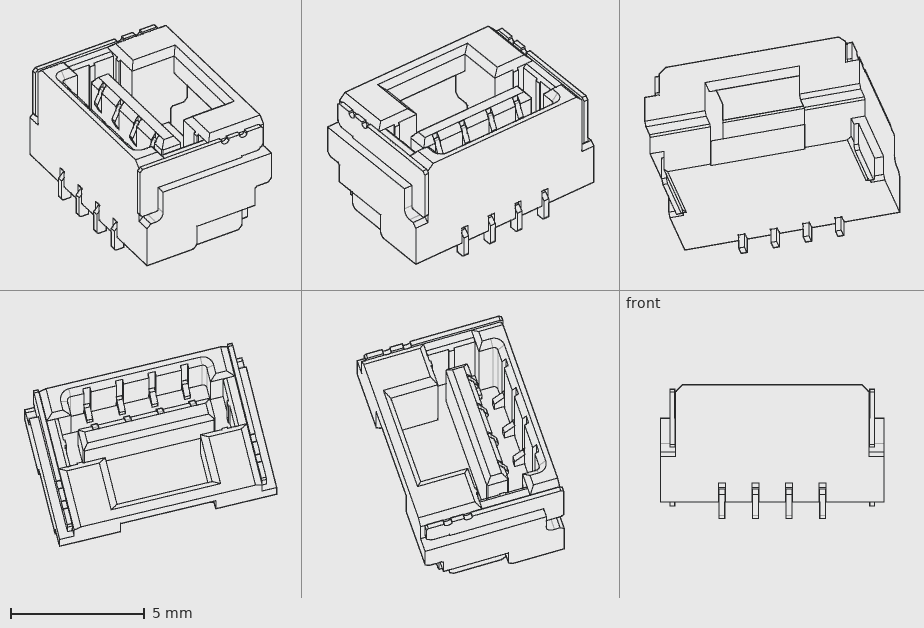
import cadquery as cq


width = 8.35
depth = 5.46
height = 4.38
core_half = 3.615
shoulder_top = 3.13
base_back = 4.74
overhang_z = 1.845
overhang_chamfer = 0.15
overhang_fillet = 0.075

rim_drop = 0.26
rim_z = height - rim_drop
rim_run_y = 0.21
front_rim_y = 1.16
back_rim_y = 3.04

cavity_half = 3.17
cavity_lead = 0.13
mouth_half = 2.68
front_wall = 0.47
mouth_radius = 0.15
floor_z = 1.17
trench_half = 2.33
trench_z = 0.835

window_half = 1.83
window_flare = 0.275
bar_front = 4.885
bar_bottom = 3.33
floor_back = 4.65

rib_height = 0.06
rib_width = 0.22
side_rib_y = 2.09
back_rib_x = 2.78

tongue_half = 2.54
tongue_front = 1.66
tongue_back = 2.51
tongue_top = 3.975
tongue_chamfer_drop = 0.29
tongue_chamfer_run = 0.21
tongue_corner = 0.05

contact_count = 4
pitch = 1.25
contact_width = 0.225
contact_groove = 0.275
groove_back_y = 1.86
groove_front_y = 0.32
protrusion = 0.09
tail_bottom = -0.62
tail_back = 0.325
tail_radius = 0.11
tail_top = 0.49
tail_shoulder = 0.28
exit_top = 0.7
exit_slope = 0.15
arm_tip_y = 1.74
arm_tip_z = 3.715
contact_tip_radius = 0.07
bump_y = 1.49
bump_top = 3.19
bump_flat = 0.08
bump_end = 2.755
prong_tip_z = 1.6
prong_toe_y = 0.85
prong_toe_z = 1.25

plate_inner = 3.64
plate_outer = 3.825
plate_top = 4.22
plate_bottom = 2.05
plate_back = 5.29
plate_back_bottom = 3.19
plate_back_chamfer = 0.19
plate_top_chamfer = 0.075
plate_front_chamfer = 0.12
foot_front = 2.19
foot_back = 4.38
foot_bottom = -0.15
foot_top = 0.99
foot_chamfer = 0.16
notch_width = 0.3
notch_straight = 0.08
notch_depth = 0.18
notch_centers = (3.65, 4.44)

recess_back = 0.7
recess_z = 1.87
recess_radius = 0.32
recess_chamfer = 0.17

overlap = 0.08


def block(x0, x1, y0, y1, z0, z1):
    """Box given by its limits on the three axes."""
    return cq.Workplane("XY").box(x1 - x0, y1 - y0, z1 - z0, centered=False).translate((x0, y0, z0))


def along_x(points, x0, x1):
    """Closed (y, z) outline extruded from x0 to x1."""
    return cq.Workplane("YZ").polyline(points).close().extrude(x1 - x0).translate((x0, 0, 0))


def along_y(points, y0, y1):
    """Closed (x, z) outline extruded from y0 to y1."""
    return cq.Workplane("XZ").polyline(points).close().extrude(y0 - y1).translate((0, y0, 0))


def both_sides(left):
    """A left-hand body together with its mirror image."""
    return left.union(left.mirror("YZ"))


def shell():
    """Outer block: side profile with overhang, tall core and lower shoulders."""
    side = [
        (0, 0),
        (base_back, 0),
        (base_back, overhang_z - overhang_fillet),
        (base_back + overhang_fillet, overhang_z),
        (depth - overhang_chamfer, overhang_z),
        (depth, overhang_z + overhang_chamfer),
        (depth, height),
        (0, height),
    ]
    front = [
        (-width / 2, 0),
        (width / 2, 0),
        (width / 2, shoulder_top),
        (core_half, shoulder_top),
        (core_half, rim_z),
        (core_half - rim_drop, height),
        (rim_drop - core_half, height),
        (-core_half, rim_z),
        (-core_half, shoulder_top),
        (-width / 2, shoulder_top),
    ]
    return along_x(side, -width / 2, width / 2).intersect(along_y(front, 0, depth))


def shoulder_recess():
    """Pocket in the front of the left shoulder, with a round inner corner."""
    return (
        cq.Workplane("YZ")
        .moveTo(-overlap, recess_z - recess_chamfer - overlap)
        .lineTo(recess_chamfer, recess_z)
        .lineTo(recess_back - recess_radius, recess_z)
        .radiusArc((recess_back, recess_z + recess_radius), -recess_radius)
        .lineTo(recess_back, shoulder_top + overlap)
        .lineTo(-overlap, shoulder_top + overlap)
        .close()
        .extrude(width / 2 - core_half)
        .translate((-width / 2, 0, 0))
    )


def foot_notch():
    """Relief behind the foot of the left plate, widened by a chamfer at the underside."""
    y1 = base_back + overlap
    relief = block(-width / 2 - overlap, -plate_inner, foot_front, y1, 0, foot_top)
    side_flare = along_y(
        [(-plate_inner, 0), (overhang_chamfer - plate_inner, 0), (-plate_inner, overhang_chamfer)],
        foot_front, y1,
    )
    front_flare = along_x(
        [(foot_front, 0), (foot_front - overhang_chamfer, 0), (foot_front, overhang_chamfer)],
        -width / 2 - overlap, -plate_inner,
    )
    return relief.union(side_flare).union(front_flare)


def rim_gap():
    """Lowered rim between the front corners and the back block."""
    points = [
        (front_rim_y, rim_z),
        (back_rim_y, rim_z),
        (back_rim_y + rim_run_y, height),
        (front_rim_y - rim_run_y, height),
    ]
    return along_x(points, -width / 2, width / 2)


def mouth():
    """Narrow front part of the cavity and its 45 degree lead-in."""
    def outline(z):
        length = back_rim_y - front_wall
        return (
            cq.Workplane("XY", origin=(0, front_wall + length / 2, z))
            .sketch()
            .rect(2 * mouth_half, length)
            .vertices("<Y")
            .fillet(mouth_radius)
            .finalize()
        )

    lead_in = outline(rim_z).extrude(rim_drop, taper=-45)
    well = outline(trench_z).extrude(rim_z - trench_z)
    return lead_in.union(well).intersect(block(-width, width, 0, front_rim_y, 0, height))


def trench():
    """Deeper floor between the mouth and the tongue."""
    return block(-trench_half, trench_half, front_wall, tongue_front, trench_z, floor_z)


def main_cavity():
    """Wide part of the cavity with sloped lead-ins on the side walls."""
    points = [
        (-cavity_half, floor_z),
        (cavity_half, floor_z),
        (cavity_half, rim_z - cavity_lead),
        (cavity_half + cavity_lead, rim_z),
        (-cavity_half - cavity_lead, rim_z),
        (-cavity_half, rim_z - cavity_lead),
    ]
    return along_y(points, front_rim_y, back_rim_y)


def window():
    """Opening through the back block, flared at the top and open under the rear bar."""
    y0 = back_rim_y - overlap

    def outline(plane, half, y1):
        return plane.center(0, (y0 + y1) / 2).rect(2 * half, y1 - y0).center(0, -(y0 + y1) / 2)

    start = cq.Workplane("XY", origin=(0, 0, rim_z))
    flare = outline(
        outline(start, window_half, bar_front).workplane(offset=rim_drop),
        window_half + window_flare, bar_front + rim_run_y,
    ).loft(ruled=True)
    well = block(-window_half, window_half, y0, bar_front, floor_z, rim_z)
    under_bar = block(-window_half, window_half, y0, depth + overlap, floor_z, bar_bottom)
    drop = block(-window_half, window_half, floor_back, depth + overlap, -overlap, bar_bottom)
    return flare.union(well).union(under_bar).union(drop)


def crush_ribs():
    """Left pair of upright ribs, one on the side wall and one on the back block.

    The tops of the ribs continue the slopes above them.
    """
    side_points = [
        (-cavity_half - overlap, floor_z),
        (rib_height - cavity_half, floor_z),
        (rib_height - cavity_half, rim_z - cavity_lead - rib_height),
        (-cavity_half, rim_z - cavity_lead),
        (-cavity_half - overlap, rim_z - cavity_lead),
    ]
    back_points = [
        (back_rim_y + overlap, floor_z),
        (back_rim_y - rib_height, floor_z),
        (back_rim_y - rib_height, rim_z - rib_height * rim_drop / rim_run_y),
        (back_rim_y, rim_z),
        (back_rim_y + overlap, rim_z),
    ]
    side = along_y(side_points, side_rib_y - rib_width / 2, side_rib_y + rib_width / 2)
    back = along_x(back_points, -back_rib_x - rib_width / 2, -back_rib_x + rib_width / 2)
    return side.union(back)


def tongue():
    """Central tongue with chamfered top and corners."""
    body = block(-tongue_half, tongue_half, tongue_front, tongue_back, trench_z - overlap, tongue_top)
    bevelled = body.faces(">Z").chamfer(tongue_chamfer_drop, tongue_chamfer_run)
    return bevelled.intersect(body.edges("|Z").chamfer(tongue_corner))


def contact_clearance(x):
    """Grooves for one contact in the tongue, the front wall and the front face."""
    half = contact_width / 2
    gap = contact_groove / 2
    in_tongue = block(x - half, x + half, tongue_front - overlap, groove_back_y, trench_z, tongue_top)
    in_wall = block(x - gap, x + gap, groove_front_y, front_wall, trench_z, height)
    exit_points = [
        (0, -overlap),
        (tail_back, -overlap),
        (tail_back, exit_top - exit_slope),
        (exit_slope, exit_top - exit_slope),
        (0, exit_top),
    ]
    return in_tongue.union(in_wall).union(along_x(exit_points, x - gap, x + gap))


def contact_tail():
    """Side outline of the solder tail, reaching up into the front wall."""
    return (
        cq.Workplane("YZ")
        .moveTo(-protrusion, tail_shoulder)
        .lineTo(tail_top - tail_shoulder - protrusion, tail_top)
        .lineTo(tail_back + overlap, tail_top)
        .lineTo(tail_back + overlap, 0)
        .lineTo(tail_back, 0)
        .lineTo(tail_back, tail_bottom)
        .lineTo(tail_radius - protrusion, tail_bottom)
        .radiusArc((-protrusion, tail_bottom + tail_radius), tail_radius)
        .close()
    )


def contact_prong():
    """Side outline of the front prong, with a round tip and a sloped back."""
    base_z = trench_z - overlap
    return (
        cq.Workplane("YZ")
        .moveTo(groove_front_y, base_z)
        .lineTo(groove_front_y, prong_tip_z)
        .radiusArc((groove_front_y + 2 * contact_tip_radius, prong_tip_z), contact_tip_radius)
        .lineTo(prong_toe_y, prong_toe_z)
        .lineTo(prong_toe_y, base_z)
        .close()
    )


def contact_arm():
    """Side outline of the spring arm, bulging forward from the tongue."""
    base_z = trench_z - overlap
    return (
        cq.Workplane("YZ")
        .moveTo(groove_back_y, base_z)
        .lineTo(groove_back_y, arm_tip_z)
        .radiusArc((arm_tip_y, arm_tip_z), -contact_tip_radius)
        .lineTo(bump_y, bump_top)
        .lineTo(bump_y, bump_top - bump_flat)
        .lineTo(tongue_front, bump_end)
        .lineTo(tongue_front, base_z)
        .close()
    )


def contact(x):
    """One contact: solder tail, front prong and spring arm."""
    tail = contact_tail().extrude(contact_width)
    prong = contact_prong().extrude(contact_width)
    arm = contact_arm().extrude(contact_width)
    return tail.union(prong).union(arm).translate((x - contact_width / 2, 0, 0))


def plate_notch(y):
    """Round-bottomed notch in the top edge of the left plate."""
    half = notch_width / 2
    return (
        cq.Workplane("YZ")
        .moveTo(y - half, plate_top)
        .lineTo(y - half, plate_top - notch_straight)
        .threePointArc((y, plate_top - notch_depth), (y + half, plate_top - notch_straight))
        .lineTo(y + half, plate_top)
        .close()
        .extrude(width / 2)
        .translate((-width / 2, 0, 0))
    )


def plate():
    """Left hold-down plate with its foot below the housing."""
    points = [
        (-protrusion, plate_bottom + protrusion),
        (-protrusion, plate_top - plate_front_chamfer),
        (plate_front_chamfer - protrusion, plate_top),
        (plate_back - plate_top_chamfer, plate_top),
        (plate_back, plate_top - plate_top_chamfer),
        (plate_back, plate_back_bottom + plate_back_chamfer),
        (plate_back - plate_back_chamfer, plate_back_bottom),
        (foot_back, plate_back_bottom),
        (foot_back, foot_bottom + foot_chamfer),
        (foot_back - foot_chamfer, foot_bottom),
        (foot_front + foot_chamfer, foot_bottom),
        (foot_front, foot_bottom + foot_chamfer),
        (foot_front, plate_bottom),
        (0, plate_bottom),
    ]
    body = along_x(points, -plate_outer, -plate_inner)
    for y in notch_centers:
        body = body.cut(plate_notch(y))
    return body


contact_xs = [(i - (contact_count - 1) / 2) * pitch for i in range(contact_count)]

result = shell().cut(both_sides(shoulder_recess())).cut(both_sides(foot_notch()))
result = result.cut(rim_gap()).cut(mouth()).cut(main_cavity()).cut(window())
result = result.cut(trench())
result = result.union(both_sides(crush_ribs())).union(tongue())
for contact_x in contact_xs:
    result = result.cut(contact_clearance(contact_x)).union(contact(contact_x))
result = result.union(both_sides(plate()))